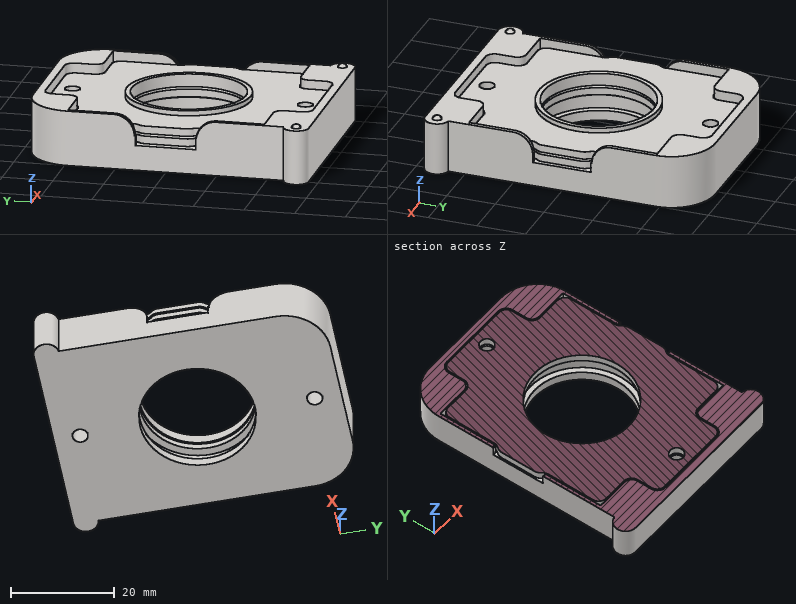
import cadquery as cq
import math

length = 56.45
half_length = length / 2
body_width = 40.4
half_width = body_width / 2
rear_height = 11.0
front_height = 10.85
rear_corner_radius = 9.0

ear_span = 44.6
ear_depth = 4.95
ear_radius = 2.4
ear_y = -half_length + ear_depth / 2
detent_x = ear_span / 2 - ear_radius
detent_diameter = 2.0
detent_radius = detent_diameter / 2
detent_top = 11.45

lens_bore = 22.5
lens_seat_bore = 25.0
lens_seat_floor = 2.15
screw_bore = 3.0
screw_y = 23.0

plate_thickness = 1.5
plate_half_side = 19.2
arm_half_width = 9.9
arm_half_length = 26.25
plate_fillet = 1.85
ring_diameter = 24.5
ring_height = 1.0

tab_half_flat = 3.95
tab_depth = half_width - plate_half_side
tab_curve_radius = 2.1
tab_curve_length = 2 * math.sqrt(tab_curve_radius * tab_depth - tab_depth**2 / 4)

side_gap = 0.15
stack_gap = 0.5
pocket_floor = 5.0
lower_plate_z = pocket_floor + stack_gap
upper_plate_z = lower_plate_z + plate_thickness + stack_gap

notch_half_width = 6.0
shoulder_radius = 4.0
rear_shoulder_setback = rear_height - front_height


def cross_prism(clearance, bottom, height, round_corners):
    """Cross with rounded arms, grown by a clearance; its four outer corners are rounded on request."""
    side = plate_half_side + clearance
    arm = arm_half_width + clearance
    reach = arm_half_length + clearance
    square = cq.Workplane("XY").workplane(offset=bottom).rect(2 * side, 2 * side).extrude(height)
    arms = cq.Workplane("XY").workplane(offset=bottom).rect(2 * arm, 2 * reach).extrude(height)
    cross = square.union(arms)
    rounded_edges = []
    for edge in cross.edges("|Z").vals():
        is_corner = abs(edge.Center().x) > (side + arm) / 2
        if round_corners or not is_corner:
            rounded_edges.append(edge)
    return cross.newObject(rounded_edges).fillet(plate_fillet)


def bores(height):
    """Lens bore and both screw bores, as one cutting tool."""
    lens = cq.Workplane("XY").circle(lens_bore / 2).extrude(height)
    screws = cq.Workplane("XY").pushPoints([(0, screw_y), (0, -screw_y)]).circle(screw_bore / 2)
    return lens.union(screws.extrude(height))


def side_tab(side, bottom):
    """Tab reaching flush with the outer wall face; side is +1 or -1 along X."""
    outer_x = side * half_width
    root_x = side * plate_half_side
    middle_x = (outer_x + root_x) / 2
    half_curve_y = tab_half_flat + tab_curve_length / 2
    root_y = tab_half_flat + tab_curve_length
    half_angle = math.asin(tab_curve_length / 2 / tab_curve_radius) / 2
    bulge_x = side * tab_curve_radius * (1 - math.cos(half_angle))
    bulge_y = tab_curve_radius * math.sin(half_angle)
    return (
        cq.Workplane("XY")
        .workplane(offset=bottom)
        .moveTo(outer_x, -tab_half_flat)
        .lineTo(outer_x, tab_half_flat)
        .threePointArc((outer_x - bulge_x, tab_half_flat + bulge_y), (middle_x, half_curve_y))
        .threePointArc((root_x + bulge_x, root_y - bulge_y), (root_x, root_y))
        .lineTo(0, root_y)
        .lineTo(0, -root_y)
        .lineTo(root_x, -root_y)
        .threePointArc((root_x + bulge_x, -root_y + bulge_y), (middle_x, -half_curve_y))
        .threePointArc((outer_x - bulge_x, -tab_half_flat - bulge_y), (outer_x, -tab_half_flat))
        .close()
        .extrude(plate_thickness)
    )


def make_plate(bottom):
    """Plain cross plate with side tabs and bores."""
    plate = cross_prism(0, bottom, plate_thickness, round_corners=True)
    for side in (-1, 1):
        plate = plate.union(side_tab(side, bottom))
    return plate.cut(bores(rear_height))


def make_ringed_plate(bottom):
    """Cross plate with a raised ring around the lens bore."""
    ring = (
        cq.Workplane("XY")
        .workplane(offset=bottom + plate_thickness)
        .circle(ring_diameter / 2)
        .circle(lens_bore / 2)
        .extrude(ring_height)
    )
    return make_plate(bottom).union(ring)


def housing_block():
    """Block with rounded rear corners and an eared bar along its front, lower in front of the notches."""
    rear_part = cq.Workplane("XY").center(0, half_length / 2).rect(body_width, half_length)
    rear_part = rear_part.extrude(rear_height).edges("|Z and >Y").fillet(rear_corner_radius)
    front_length = half_length - ear_depth / 2
    front_part = cq.Workplane("XY").center(0, -front_length / 2).rect(body_width, front_length)
    ear_bar = cq.Workplane("XY").center(0, ear_y).rect(ear_span, ear_depth).extrude(front_height)
    ear_bar = ear_bar.edges("|Z").fillet(ear_radius)
    return rear_part.union(front_part.extrude(front_height)).union(ear_bar)


def finger_notch():
    """Notch profile with convex round shoulders, swept across the whole width."""
    rear_y = notch_half_width + rear_shoulder_setback
    rear_shoulder_z = rear_height - shoulder_radius
    front_shoulder_z = front_height - shoulder_radius
    diagonal = shoulder_radius * (1 - math.sqrt(0.5))
    return (
        cq.Workplane("YZ")
        .moveTo(-notch_half_width, pocket_floor)
        .lineTo(notch_half_width, pocket_floor)
        .lineTo(notch_half_width, rear_shoulder_z)
        .lineTo(rear_y, rear_shoulder_z)
        .threePointArc((rear_y + diagonal, rear_height - diagonal), (rear_y + shoulder_radius, rear_height))
        .lineTo(-notch_half_width - shoulder_radius, rear_height)
        .lineTo(-notch_half_width - shoulder_radius, front_height)
        .threePointArc(
            (-notch_half_width - diagonal, front_height - diagonal), (-notch_half_width, front_shoulder_z)
        )
        .close()
        .extrude(half_width, both=True)
    )


def make_housing():
    """Housing with its cross pocket, lens seat, bores, notches and ball detents."""
    housing = housing_block()
    housing = housing.cut(cross_prism(side_gap, pocket_floor, rear_height, round_corners=False))
    lens_seat = cq.Workplane("XY").workplane(offset=lens_seat_floor).circle(lens_seat_bore / 2)
    housing = housing.cut(lens_seat.extrude(pocket_floor - lens_seat_floor))
    housing = housing.cut(bores(rear_height))
    housing = housing.cut(finger_notch())
    for x in (-detent_x, detent_x):
        detent = cq.Workplane("XY").sphere(detent_radius)
        housing = housing.union(detent.translate((x, ear_y, detent_top - detent_radius)))
    return housing


housing = make_housing()
lower_plate = make_plate(lower_plate_z)
upper_plate = make_ringed_plate(upper_plate_z)

bodies = [housing, lower_plate, upper_plate]
result = cq.Compound.makeCompound([body.solids().val() for body in bodies])